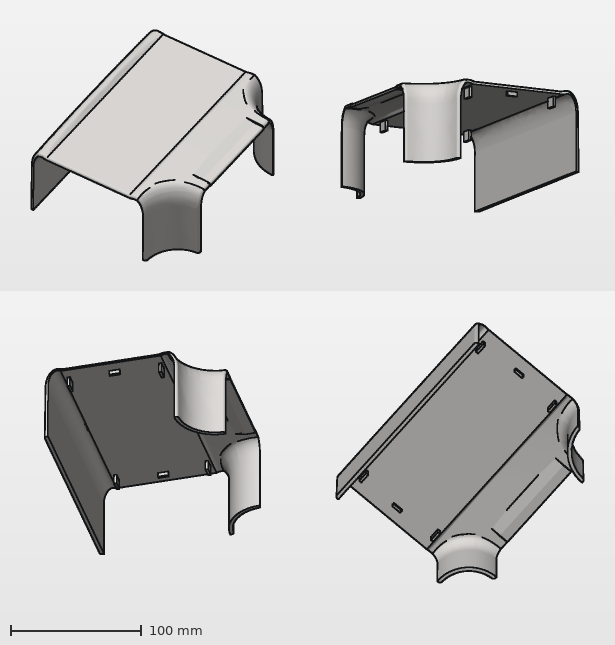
import cadquery as cq

length = 164.6
width = 135.5
wall = 2.6
wall_foot = 3.1
edge_round = 2.1
end_draft = 0.3

panel_top = 61.7
ridge_end = 62.5
crown = 2.6
shoulder_base = 46.5

left_crest = 10.0
panel_left = 15.1
panel_right = 90.5
right_crest = 95.1
ridge_lean = 0.6
foot_slope = 0.5
foot_shift = 2.0

corner_radius = 29.1
shoulder_width = 10.5
shoulder_top = 63.5

recess_half_width = 37.4
recess_start = 118.5
recess_flat = 127.5
lip_round = 1.6

clip_thickness = 2.1
clip_length = 8.2
side_clip_bottom = 51.2
middle_clip_bottom = 55.8
clip_setback = 9.9
clip_centre = 53.2
side_clip_span = 72.6

clearance = 1.6
draft = wall_foot - wall


def crest_height(y):
    return ridge_end + crown * (1 - (2 * y / length) ** 2)


def roof_section(y, inset, mouth_x):
    """Closed outline at one Y place: side wall, ridge, sunken panel, ridge and branch roof."""
    wall_bottom_x = wall_foot if inset else 0
    wall_top_x = wall_foot if inset else draft
    left_foot = panel_left - (foot_shift if inset else 0)
    right_foot = panel_right + (foot_shift if inset else 0)
    crest_z = crest_height(y) - inset
    foot_z = panel_top - inset
    middle_z = (crest_z + foot_z) / 2
    left_run = left_foot - left_crest
    right_run = right_crest - right_foot
    plane = cq.Plane(origin=(0, y, 0), xDir=(1, 0, 0), normal=(0, -1, 0))
    return (
        cq.Workplane(plane)
        .moveTo(wall_bottom_x, 0)
        .lineTo(wall_top_x, shoulder_base)
        .ellipseArc(left_crest - wall_top_x, crest_z - shoulder_base, 90, 180, sense=-1)
        .spline([(left_crest + ridge_lean * left_run, middle_z), (left_foot, foot_z)],
                tangents=[(1, 0), (1, -foot_slope)], includeCurrent=True)
        .lineTo(right_foot, foot_z)
        .spline([(right_crest - ridge_lean * right_run, middle_z), (right_crest, crest_z)],
                tangents=[(1, foot_slope), (1, 0)], includeCurrent=True)
        .lineTo(mouth_x, ridge_end - inset)
        .lineTo(mouth_x, 0)
        .close()
        .wires()
        .val()
    )


def corner_cutter(inset):
    """Revolved space outside one branch corner: round wall below, elliptical shoulder above."""
    bottom_r = corner_radius + (wall_foot if inset else 0)
    wall_r = corner_radius + (wall_foot if inset else draft)
    top_r = corner_radius + draft + shoulder_width
    top_z = shoulder_top - inset
    above = shoulder_top + crown
    profile = (
        cq.Workplane("XZ")
        .moveTo(0, -clearance)
        .lineTo(bottom_r, -clearance)
        .lineTo(wall_r, shoulder_base)
        .ellipseArc(top_r - wall_r, top_z - shoulder_base, 90, 180, sense=-1)
        .lineTo(top_r, above)
        .lineTo(0, above)
        .close()
    )
    return profile.revolve(360, (0, 0, 0), (0, 1, 0))


def lid_recess(inset):
    """Space above the sunken lid seat at the branch mouth; the outer seat has a rounded lip."""
    slope_part = (recess_start - right_crest) / (width - right_crest)
    start_z = ridge_end + crown * (1 - slope_part) - inset
    seat_z = panel_top - inset
    above = start_z + crown
    past_mouth = width + 2 * clearance
    profile = cq.Workplane("XZ").moveTo(recess_start, start_z).lineTo(recess_flat, seat_z)
    if inset:
        profile = profile.lineTo(past_mouth, seat_z)
    else:
        profile = (
            profile.lineTo(width - lip_round, seat_z)
            .radiusArc((width, seat_z - lip_round), lip_round)
            .lineTo(past_mouth, seat_z - lip_round)
        )
    outline = profile.lineTo(past_mouth, above).lineTo(recess_start, above).close()
    return outline.extrude(recess_half_width, both=True)


def filled_body(inset, overrun):
    """The T without a hollow, shrunk by the inset and lengthened at its openings."""
    half = length / 2 + overrun
    sections = [roof_section(y, inset, width + overrun) for y in (-half, 0, half)]
    body = cq.Workplane(obj=cq.Solid.makeLoft(sections))
    for side in (-1, 1):
        body = body.cut(corner_cutter(inset).translate((width, side * length / 2, 0)))
    return body


def lean_ends(body):
    """Trim both Y ends to planes leaning inward towards the top."""
    top = ridge_end + 2 * crown
    half = length / 2
    envelope = (
        cq.Workplane("YZ")
        .polyline([(-half, 0), (half, 0), (half - end_draft, top), (-half + end_draft, top)])
        .close()
        .extrude(width)
    )
    return body.intersect(envelope)


def round_openings(body):
    """Round the outer edges around the three openings, leaving the bottom edge sharp."""
    rim = body.faces("<Y or >Y or >X").edges("not <Z")
    return body.newObject(rim.vals()).fillet(edge_round)


def clips(end):
    """Two side clips and a middle clip at one Y end of the panel."""
    underside = panel_top - wall
    outer_y = length / 2 - clip_setback
    left_x = clip_centre - side_clip_span / 2
    right_x = clip_centre + side_clip_span / 2

    def clip(x, size_x, size_y, bottom):
        block = cq.Workplane("XY").box(size_x, size_y, underside + wall / 2 - bottom,
                                       centered=(True, True, False))
        return block.translate((x, end * (outer_y - size_y / 2), bottom))

    return (
        clip(left_x, clip_thickness, clip_length, side_clip_bottom)
        .union(clip(right_x, clip_thickness, clip_length, side_clip_bottom))
        .union(clip(clip_centre, clip_length, clip_thickness, middle_clip_bottom))
    )


outer = round_openings(lean_ends(filled_body(0, 0))).cut(lid_recess(0))
cavity = filled_body(wall, clearance).cut(lid_recess(wall))
result = outer.cut(cavity)
for end_side in (-1, 1):
    result = result.union(clips(end_side))